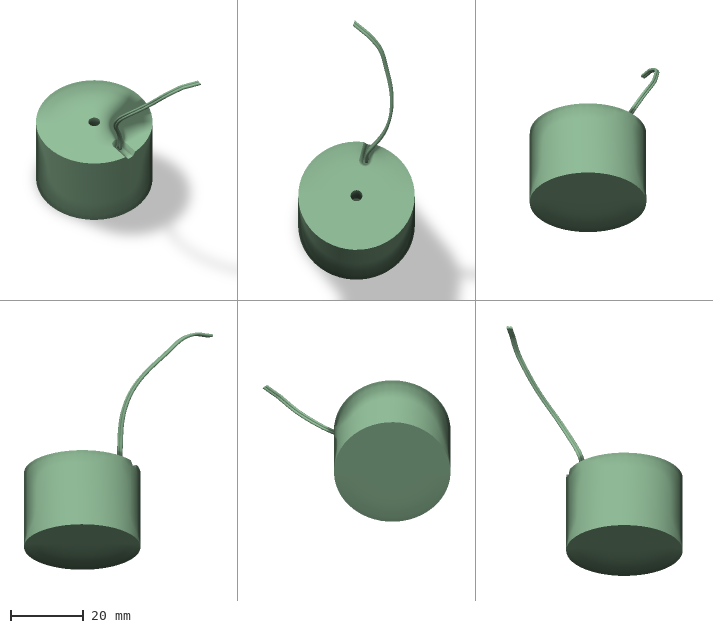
import cadquery as cq
import math

body_diameter = 32.0
body_height = 22.1

hole_diameter = 3.25
hole_depth = 6.0
drill_point_angle = 118.0

slot_width = 3.55
slot_floor_width = 1.55
slot_depth = 1.2
slot_end_x = 10.75

core_diameter = 0.85
core_spacing = 0.8
cable_embed_depth = 0.6
cable_root = (11.2, -0.2, body_height - slot_depth - cable_embed_depth)
cable_exit = (11.65, -0.25, 24.55)
cable_bends = [
    (14.1, -3.65, 33.75),
    (18.1, -5.3, 41.1),
    (23.05, -4.2, 47.2),
    (27.85, -1.4, 52.95),
    (30.8, 1.15, 56.8),
    (32.65, 4.45, 58.8),
]
cable_tip = (34.9, 9.1, 59.6)


def make_body():
    return cq.Workplane("XY").circle(body_diameter / 2).extrude(body_height)


def make_center_hole():
    """Blind hole as a revolved half section, with a conical bottom."""
    radius = hole_diameter / 2
    point_length = radius / math.tan(math.radians(drill_point_angle / 2))
    floor_z = body_height - hole_depth
    return (
        cq.Workplane("XZ")
        .moveTo(0, body_height)
        .lineTo(radius, body_height)
        .lineTo(radius, floor_z)
        .lineTo(0, floor_z - point_length)
        .close()
        .revolve(360, (0, 0), (0, 1))
    )


def make_slot():
    """Trapezoidal groove that ends in a cone of the same section."""
    floor_z = body_height - slot_depth
    half_top = slot_width / 2
    half_floor = slot_floor_width / 2
    groove = (
        cq.Workplane("YZ", origin=(slot_end_x, 0, 0))
        .moveTo(-half_top, body_height)
        .lineTo(half_top, body_height)
        .lineTo(half_floor, floor_z)
        .lineTo(-half_floor, floor_z)
        .close()
        .extrude(body_diameter / 2 - slot_end_x)
    )
    rounded_end = (
        cq.Workplane("XZ", origin=(slot_end_x, 0, 0))
        .moveTo(0, body_height)
        .lineTo(half_top, body_height)
        .lineTo(half_floor, floor_z)
        .lineTo(0, floor_z)
        .close()
        .revolve(360, (0, 0), (0, 1))
    )
    return groove.union(rounded_end)


def make_cable():
    """Figure-eight section swept along a smooth curve through the bends.

    A copy of the path shifted along X guides the sweep, which keeps the line
    between the two cores turned towards X along the whole cable.
    """
    radius = core_diameter / 2
    half_spacing = core_spacing / 2
    outer_x = half_spacing + radius
    waist = math.sqrt(radius**2 - half_spacing**2)
    start_direction = cq.Vector(*cable_exit) - cq.Vector(*cable_root)
    end_direction = cq.Vector(*cable_tip) - cq.Vector(*cable_bends[-1])
    path = cq.Workplane("XY").spline(
        [cable_root, cable_exit, *cable_bends, cable_tip],
        tangents=[start_direction, end_direction],
    )
    twist_guide = path.translate((core_spacing, 0, 0))
    section_plane = cq.Plane(origin=cable_root, xDir=(1, 0, 0), normal=start_direction)
    return (
        cq.Workplane(section_plane)
        .moveTo(0, waist)
        .threePointArc((outer_x, 0), (0, -waist))
        .threePointArc((-outer_x, 0), (0, waist))
        .close()
        .sweep(path, auxSpine=twist_guide)
    )


result = make_body().cut(make_center_hole()).cut(make_slot()).union(make_cable())